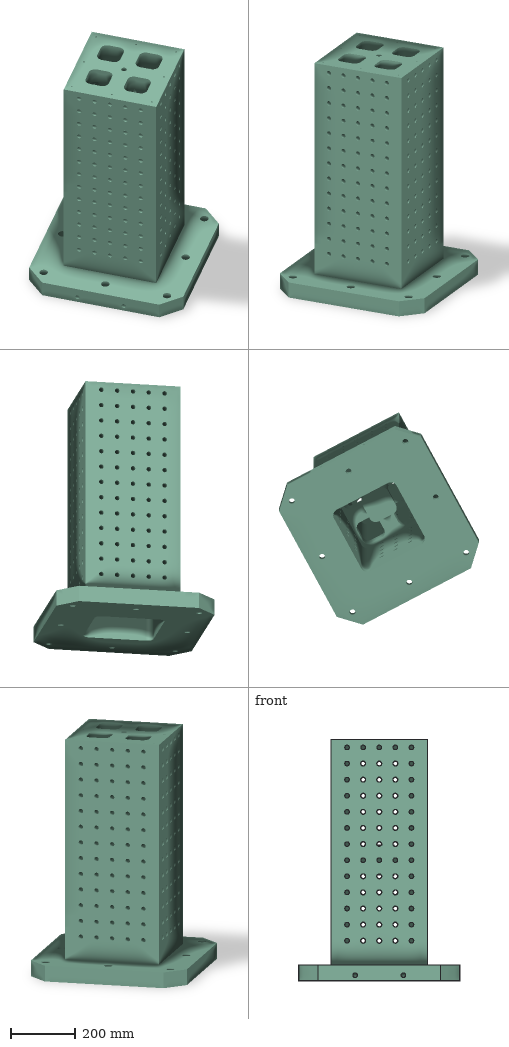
import cadquery as cq
import math

height = 750.0
pitch = height / 15

base_side = 10 * pitch
base_thickness = pitch
base_corner_cut = 60.0
bolt_spacing = 4 * pitch
bolt_hole_diameter = 18.0
bolt_counterbore_diameter = 26.0
bolt_counterbore_depth = 22.5

edge_hole_diameter = 14.0
edge_hole_depth = 30.0
edge_hole_offset = 1.5 * pitch
edge_hole_height = 18.0

column_side = 6 * pitch
wall = 40.0
cavity_side = column_side - 2 * wall
inner_corner_radius = 20.0

web_thickness = pitch
window_gap = pitch
window_side = 1.5 * pitch
window_spacing = window_side + window_gap
hub_side = 91.5
hub_height = 93.0

grid_columns = 5
grid_rows = 13
grid_top_margin = pitch / 2
grid_hole_diameter = 14.0
grid_middle_height = height - grid_top_margin - pitch * (grid_rows - 1) / 2

top_hole_diameter = 5.0
top_hole_spacing = 130.0
top_hole_depth = 15.0
center_hole_diameter = 17.0
center_hole_depth = 30.0
drill_point_angle = 118.0


def square_block(side, bottom, block_height, corner_radius=0.0):
    """Upright square block centred on the Z axis, with optional rounded corners."""
    block = cq.Workplane("XY").workplane(offset=bottom).rect(side, side).extrude(block_height)
    if corner_radius:
        block = block.edges("|Z").fillet(corner_radius)
    return block


def ring_points(spacing):
    """Corners and side middles of a square: a 3 x 3 grid without its centre."""
    steps = (-spacing, 0, spacing)
    return [(x, y) for x in steps for y in steps if (x, y) != (0, 0)]


def cross_web(bottom):
    """Web across the cavity, pierced by four rounded windows."""
    windows = (
        cq.Workplane("XY")
        .workplane(offset=bottom)
        .rarray(window_spacing, window_spacing, 2, 2)
        .rect(window_side, window_side)
        .extrude(web_thickness)
        .edges("|Z")
        .fillet(inner_corner_radius)
    )
    return square_block(cavity_side, bottom, web_thickness, inner_corner_radius).cut(windows)


def pointed_hole(diameter, depth):
    """Cutter for a blind drilled hole: opens at the origin and runs along -Z to a conical end."""
    radius = diameter / 2
    point_length = radius / math.tan(math.radians(drill_point_angle / 2))
    profile = [(0, 0), (radius, 0), (radius, -depth), (0, -depth - point_length)]
    return cq.Workplane("XZ").polyline(profile).close().revolve(360, (0, 0, 0), (0, 1, 0))


def column_face(angle):
    """Workplane on one column face at mid-grid height; angle 0 is the -Y face."""
    return (
        cq.Workplane("XZ", origin=(0, 0, grid_middle_height))
        .transformed(rotate=(0, angle, 0))
        .workplane(offset=column_side / 2)
    )


base = square_block(base_side, 0, base_thickness).edges("|Z").chamfer(base_corner_cut)
column = square_block(column_side, base_thickness, height - base_thickness)
cavity = square_block(cavity_side, 0, height, inner_corner_radius)
body = base.union(column).cut(cavity)

body = body.union(cross_web(height - web_thickness))
body = body.union(cross_web((height - web_thickness) / 2))
body = body.union(square_block(hub_side, (height - hub_height) / 2, hub_height, inner_corner_radius))

bolt_holes = (
    cq.Workplane("XY")
    .pushPoints(ring_points(bolt_spacing))
    .circle(bolt_hole_diameter / 2)
    .extrude(base_thickness)
)
counterbores = (
    cq.Workplane("XY")
    .workplane(offset=base_thickness - bolt_counterbore_depth)
    .pushPoints(ring_points(bolt_spacing))
    .circle(bolt_counterbore_diameter / 2)
    .extrude(bolt_counterbore_depth)
)
body = body.cut(bolt_holes).cut(counterbores)

for face_angle in (0, 90, 180, 270):
    grid_holes = (
        column_face(face_angle)
        .rarray(pitch, pitch, grid_columns, grid_rows)
        .circle(grid_hole_diameter / 2)
        .extrude(-wall)
    )
    body = body.cut(grid_holes)

top_holes = (
    cq.Workplane("XY")
    .workplane(offset=height)
    .pushPoints(ring_points(top_hole_spacing))
    .circle(top_hole_diameter / 2)
    .extrude(-top_hole_depth)
)
center_hole = pointed_hole(center_hole_diameter, center_hole_depth).translate((0, 0, height))
body = body.cut(top_holes).cut(center_hole)

edge_hole = pointed_hole(edge_hole_diameter, edge_hole_depth).rotate((0, 0, 0), (1, 0, 0), 90)
for x in (-edge_hole_offset, edge_hole_offset):
    body = body.cut(edge_hole.translate((x, -base_side / 2, edge_hole_height)))

result = body